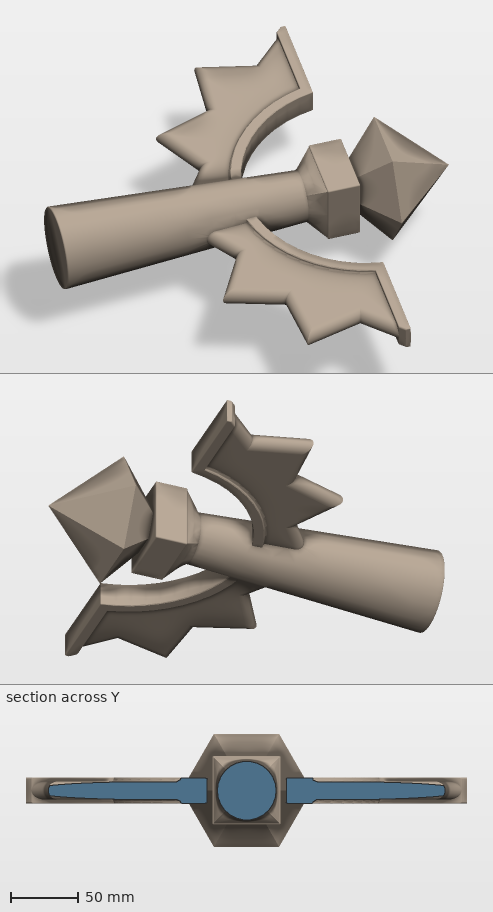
import cadquery as cq
import math


overall_length = 304.5
butt_radius = 31.5
neck_radius = 19.7
butt_edge_fillet = 1.0
neck_y = 190.2
collar_bottom_y = 203.3
collar_top_y = 228.5
collar_width = 50.8
collar_edge_fillet = 1.0

gem_across_flats = 84.0
gem_girdle_y = 253.8
gem_flare = 1.15

wing_top_y = 226.5
wing_tip_x = 164.0
tip_flat_height = 4.0
plate_thickness = 13.5
plate_edge_flat = 0.05
wing_points = [
    (-136.7, 195.5),
    (-148.0, 151.2),
    (-102.3, 147.5),
    (-87.5, 103.5),
    (-47.5, 126.0),
    (0, 92.8),
]

rim_thickness = 19.5
rim_width = 8.2
rim_edge_fillet = 0.5
rim_tip_fillet = 1.3
rim_root_fillet = 2.0
crescent_center_y = 240.5
crescent_radius = 92.8
root_radius = crescent_radius + rim_width

margin = 0.3


def along_y(y):
    """Sketch plane facing +Y at the given height, with sketch x along X."""
    return cq.Workplane(cq.Plane(origin=(0, y, 0), xDir=(1, 0, 0), normal=(0, 1, 0)))


def slab(sketch, thickness):
    return sketch.extrude(thickness / 2, both=True)


def make_handle():
    handle = along_y(0).circle(butt_radius).workplane(offset=neck_y).circle(neck_radius).loft()
    return handle.faces("<Y").edges().fillet(butt_edge_fillet)


def make_collar():
    height = collar_top_y - collar_bottom_y
    block = along_y(collar_bottom_y).rect(collar_width, collar_width).extrude(height)
    block = block.edges().fillet(collar_edge_fillet)
    taper_width = collar_width - 2 * collar_edge_fillet
    taper = (
        along_y(neck_y)
        .circle(neck_radius)
        .workplane(offset=collar_bottom_y - neck_y)
        .rect(taper_width, taper_width)
        .loft()
    )
    return block.union(taper)


def make_gem():
    corner_radius = gem_across_flats / math.sqrt(3)
    foot_y = collar_top_y - collar_edge_fillet
    foot_radius = corner_radius - gem_flare * (gem_girdle_y - foot_y)

    def hexagon(y, radius):
        return along_y(y).polygon(6, 2 * radius).wires().val()

    foot = hexagon(foot_y, foot_radius)
    girdle = hexagon(gem_girdle_y, corner_radius)
    apex = cq.Vertex.makeVertex(0, overall_length, 0)
    pavilion = cq.Solid.makeLoft([foot, girdle], True)
    crown = cq.occ_impl.shapes.loft(girdle, apex, cap=True, ruled=True)
    return cq.Workplane(pavilion).union(cq.Workplane(crown))


def crescent_disc(radius, thickness):
    return slab(cq.Workplane().center(0, crescent_center_y).circle(radius), thickness)


def wing_outline():
    tip_flat_end = (-wing_tip_x, wing_top_y - tip_flat_height)
    left_edge = [(-wing_tip_x, wing_top_y), tip_flat_end] + wing_points
    right_edge = [(-x, y) for x, y in reversed(left_edge[:-1])]
    return cq.Workplane().polyline(left_edge + right_edge).close()


def make_plate():
    plate = slab(wing_outline(), plate_thickness)
    toothed_edges = cq.selectors.BoxSelector(
        (-wing_tip_x + margin, 0, -plate_thickness),
        (wing_tip_x - margin, wing_top_y - margin, plate_thickness),
    )
    return plate.faces("|Z").edges(toothed_edges).fillet((plate_thickness - plate_edge_flat) / 2)


def make_rim():
    top_strip = slab(
        cq.Workplane().center(0, wing_top_y - rim_width / 2).rect(2 * wing_tip_x, rim_width),
        rim_thickness,
    )
    band = crescent_disc(root_radius, rim_thickness).union(top_strip)
    rim = slab(wing_outline(), rim_thickness).intersect(band)
    rim = rim.cut(crescent_disc(crescent_radius, rim_thickness))
    for side in (-1, 1):
        outward_and_down = cq.Vector(side, -0.9, 0)
        slope = rim.faces(cq.selectors.DirectionMinMaxSelector(outward_and_down, True))
        rim = slope.edges("not >Y").fillet(rim_tip_fillet)
    inside_corners = cq.selectors.BoxSelector(
        (-root_radius, wing_top_y - rim_width - margin, -margin),
        (root_radius, wing_top_y - rim_width + margin, margin),
    )
    return rim.edges(-inside_corners).fillet(rim_edge_fillet)


def make_wings():
    plate = make_plate().cut(crescent_disc(crescent_radius + rim_width / 2, rim_thickness))
    wings = plate.union(make_rim())
    root_edges = [
        edge
        for edge in wings.edges("%CIRCLE").vals()
        if abs(edge.radius() - root_radius) < margin
        and abs(edge.Center().z) < plate_thickness / 2 + margin
    ]
    return wings.newObject(root_edges).fillet(rim_root_fillet)


mace = make_handle().union(make_collar()).union(make_gem()).union(make_wings())
result = mace.solids()